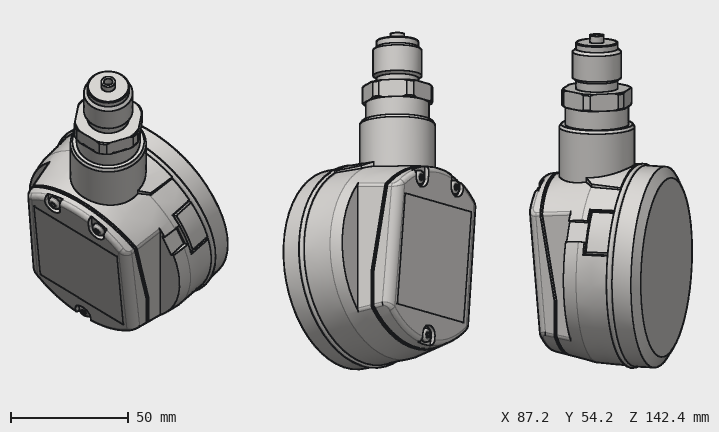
import cadquery as cq
import math


front_y = 30.9
bezel_radius = 42.9
bezel_back_y = 19.5
bezel_chamfer_y = 3.0
bezel_chamfer_radial = 4.7
gasket_radius = 43.6
gasket_seat_radius = 40.6

rim_y = 17.0
rim_radius = 42.6
shoulder_y = 3.3
shoulder_radius = 42.1
cone_slope = 0.195
rear_limit_y = -31.3
big = 128.2

face_y = -20.2
face_tilt = 5.1
face_wall_fillet = 4.3
face_arc_fillet = 2.3

shelf_y = -2.5
wall_x = 30.5
wall_draft = 9.0

joint_flat_y = -10.1
joint_kink_z = -11.4
joint_slope = 0.18
joint_groove_width = 1.0
joint_groove_depth = 0.35

label_width = 45.3
label_top = 22.2
label_bottom = -25.6
label_thickness = 0.7

upper_screw_x = 12.0
upper_screw_z = 31.0
lower_screw_z = -35.0
notch_radius = 4.1
notch_depth = 2.3
screw_head_radius = 3.0
screw_head_height = 1.9
screw_dome_height = 1.1
screw_socket_size = 2.5
screw_socket_depth = 1.0

neck_radius = 16.1
neck_foot_z = 31.3
neck_top_z = 60.4
neck_chamfer_radial = 0.9
neck_chamfer_height = 1.3
pad_radius = 43.3
pad_half_width_rim = 21.4
pad_half_width_shoulder = 20.2
pad_shoulder_y = 3.7

collar_radius = 13.5
hex_bottom_z = 68.5
hex_top_z = 75.9
hex_flats = 27.3
hex_corner_radius = 15.0
hex_chamfer = 0.5
relief_radius = 9.0
thread_bottom_z = 79.5
thread_radius = 10.4
thread_lower_chamfer = 1.1
thread_upper_chamfer = 1.3
thread_top_z = 93.0
tip_top_z = 95.8
tip_chamfer = 0.4
pin_radius = 3.0
pin_top_z = 98.8
pin_bore_radius = 1.9
pin_bore_depth = 3.5

flap_angle = 30.0
flap_pocket_width = 20.5
flap_pocket_floor = 39.2
flap_back_y = 6.0
flap_gap = 0.5
flap_chamfer = 0.7
finger_width = 9.7
finger_floor = 39.3

face_plane = cq.Plane(
    origin=(0, face_y, 0),
    xDir=(1, 0, 0),
    normal=(0, -1, -math.tan(math.radians(face_tilt))),
)


def revolve_about_y(points):
    return cq.Workplane("XY").polyline(points).close().revolve(360, (0, 0, 0), (0, 1, 0))


def block(x_range, y_range, z_range):
    size = [high - low for low, high in (x_range, y_range, z_range)]
    corner = (x_range[0], y_range[0], z_range[0])
    return cq.Workplane("XY").box(*size, centered=False).translate(corner)


def make_bezel():
    return revolve_about_y([
        (0, bezel_back_y),
        (bezel_radius, bezel_back_y),
        (bezel_radius, front_y - bezel_chamfer_y),
        (bezel_radius - bezel_chamfer_radial, front_y),
        (0, front_y),
    ])


def make_gasket():
    bead_radius = (bezel_back_y - rim_y) / 2
    bead_x = gasket_radius - bead_radius
    return (
        cq.Workplane("XY")
        .moveTo(gasket_seat_radius, rim_y)
        .lineTo(bead_x, rim_y)
        .threePointArc((gasket_radius, rim_y + bead_radius), (bead_x, bezel_back_y))
        .lineTo(gasket_seat_radius, bezel_back_y)
        .close()
        .revolve(360, (0, 0, 0), (0, 1, 0))
    )


def case_body(inset):
    """Tapered case cut by the rear face and the side shelves, shrunk sideways by the inset."""
    rear_radius = shoulder_radius - cone_slope * (shoulder_y - rear_limit_y)
    body = revolve_about_y([
        (0, rim_y),
        (rim_radius - inset, rim_y),
        (shoulder_radius - inset, shoulder_y),
        (rear_radius - inset, rear_limit_y),
        (0, rear_limit_y),
    ])
    behind_face = cq.Workplane(face_plane).rect(big, big).extrude(big / 2)
    body = body.cut(behind_face)
    run = shelf_y - rear_limit_y
    top_x = wall_x - inset
    foot_x = top_x - run * math.tan(math.radians(wall_draft))
    for side in (1, -1):
        step = (
            cq.Workplane("XY")
            .polyline([
                (side * top_x, shelf_y),
                (side * big, shelf_y),
                (side * big, rear_limit_y),
                (side * foot_x, rear_limit_y),
            ])
            .close()
            .extrude(big / 2, both=True)
        )
        body = body.cut(step)
    return body


def fillet_face_edges(solid, radius, straight):
    """Round either the straight or the curved edges of the sloping rear face."""
    rear_face = max(solid.Faces(), key=lambda face: face.Center().dot(face_plane.zDir))
    edges = [edge for edge in rear_face.Edges() if (edge.geomType() == "LINE") == straight]
    return solid.fillet(radius, edges)


def round_case(body):
    solid = body.val().Solids()[0]
    solid = fillet_face_edges(solid, face_wall_fillet, straight=True)
    solid = fillet_face_edges(solid, face_arc_fillet, straight=False)
    return cq.Workplane("XY").newObject([solid])


def make_neck():
    neck = (
        cq.Workplane("XY", origin=(0, 0, neck_foot_z))
        .circle(neck_radius)
        .extrude(neck_top_z - neck_foot_z)
    )
    return neck.faces(">Z").chamfer(neck_chamfer_height, neck_chamfer_radial)


def make_pad():
    """Slightly raised pad on the case top, running from the rim to the foot of the neck."""
    outline = [
        (-pad_half_width_rim, rim_y),
        (-pad_half_width_shoulder, pad_shoulder_y),
        (-neck_radius, 0),
        (neck_radius, 0),
        (pad_half_width_shoulder, pad_shoulder_y),
        (pad_half_width_rim, rim_y),
    ]
    prism = cq.Workplane("XY").workplane(offset=neck_foot_z).polyline(outline).close().extrude(big)
    cylinder = revolve_about_y([(0, 0), (pad_radius, 0), (pad_radius, rim_y), (0, rim_y)])
    return prism.intersect(cylinder)


def joint_prism(shift):
    """Everything behind the kinked joint surface, moved towards the front by the shift."""
    kink_y = joint_flat_y + shift
    top_y = kink_y - joint_slope * (big - joint_kink_z)
    outline = [
        (kink_y, -big),
        (kink_y, joint_kink_z),
        (top_y, big),
        (-big, big),
        (-big, -big),
    ]
    return cq.Workplane("YZ").polyline(outline).close().extrude(big, both=True)


def make_joint_groove():
    """Shallow band around the case, just in front of the joint."""
    band = joint_prism(joint_groove_width).cut(joint_prism(0))
    return band.cut(case_body(joint_groove_depth))


def flap_sector(width, floor, back_y):
    """Block across the flap position, from the floor outwards and from back_y to the rim."""
    sector = block((floor, big), (back_y, rim_y), (-width / 2, width / 2))
    return sector.rotate((0, 0, 0), (0, 1, 0), -flap_angle)


def make_flap(outer_body):
    flap = flap_sector(flap_pocket_width - 2 * flap_gap, flap_pocket_floor, flap_back_y + flap_gap)
    flap = flap.intersect(outer_body)
    outer_faces = [face for face in flap.faces().vals() if face.geomType() == "CONE"]
    border = [
        edge for edge in flap.newObject(outer_faces).edges().vals()
        if edge.Center().y < rim_y - flap_chamfer
    ]
    return flap.newObject(border).chamfer(flap_chamfer)


def make_finger_groove():
    """Groove from the back of the flap pocket through the shelf."""
    groove = flap_sector(finger_width, finger_floor, rear_limit_y)
    return groove.cut(flap_sector(big, 0, flap_back_y))


def screw_seats():
    """Position of each screw on the rear face, and the direction in which its notch opens."""
    return [
        (-upper_screw_x, upper_screw_z, 1),
        (upper_screw_x, upper_screw_z, 1),
        (0, lower_screw_z, -1),
    ]


def make_notch(x, z, opening):
    floor = cq.Workplane(face_plane).workplane(offset=-notch_depth).center(x, z)
    length = big / 2
    round_end = floor.circle(notch_radius).extrude(big / 2)
    channel = floor.center(0, opening * length / 2).rect(2 * notch_radius, length).extrude(big / 2)
    return round_end.union(channel)


def make_screw(x, z):
    floor = cq.Workplane(face_plane).workplane(offset=-notch_depth).center(x, z)
    head = floor.circle(screw_head_radius).extrude(screw_head_height)
    rim = head.faces(cq.selectors.DirectionMinMaxSelector(face_plane.zDir, True)).edges()
    head = rim.fillet(screw_dome_height)
    socket = (
        floor.workplane(offset=screw_head_height - screw_socket_depth)
        .polygon(6, screw_socket_size)
        .extrude(screw_socket_depth)
    )
    return head.cut(socket)


def make_label():
    return (
        cq.Workplane(face_plane)
        .center(0, (label_top + label_bottom) / 2)
        .rect(label_width, label_top - label_bottom)
        .extrude(-label_thickness)
    )


def make_connector():
    turned = (
        cq.Workplane("XZ")
        .polyline([
            (0, neck_top_z),
            (collar_radius, neck_top_z),
            (collar_radius, hex_bottom_z),
            (relief_radius, hex_bottom_z),
            (relief_radius, thread_bottom_z),
            (thread_radius, thread_bottom_z + thread_lower_chamfer),
            (thread_radius, thread_top_z - thread_upper_chamfer),
            (relief_radius, thread_top_z),
            (relief_radius, tip_top_z - tip_chamfer),
            (relief_radius - tip_chamfer, tip_top_z),
            (pin_radius, tip_top_z),
            (pin_radius, pin_top_z),
            (0, pin_top_z),
        ])
        .close()
        .revolve(360, (0, 0, 0), (0, 1, 0))
    )
    hex_base = cq.Workplane("XY", origin=(0, 0, hex_bottom_z))
    hex_height = hex_top_z - hex_bottom_z
    hexagon = hex_base.polygon(6, hex_flats / math.cos(math.radians(30))).extrude(hex_height)
    corner_limit = hex_base.circle(hex_corner_radius).extrude(hex_height).edges().chamfer(hex_chamfer)
    bore = (
        cq.Workplane("XY", origin=(0, 0, pin_top_z - pin_bore_depth))
        .circle(pin_bore_radius)
        .extrude(pin_bore_depth)
    )
    return turned.union(hexagon.intersect(corner_limit)).cut(bore)


def make_gasket_seat():
    return revolve_about_y([
        (0, rim_y),
        (gasket_seat_radius, rim_y),
        (gasket_seat_radius, bezel_back_y),
        (0, bezel_back_y),
    ])


def make_housing(case):
    housing = case.cut(joint_prism(0)).cut(make_joint_groove())
    housing = housing.union(make_pad()).union(make_neck()).union(make_gasket_seat())
    housing = housing.cut(flap_sector(flap_pocket_width, flap_pocket_floor, flap_back_y))
    return housing.cut(make_finger_groove())


def make_cover(case, label):
    cover = case.intersect(joint_prism(0)).cut(label)
    for x, z, opening in screw_seats():
        cover = cover.cut(make_notch(x, z, opening))
    return cover


rounded_case = round_case(case_body(0))

bezel = make_bezel()
gasket = make_gasket()
label = make_label()
connector = make_connector()
flap = make_flap(case_body(0))
housing = make_housing(rounded_case)
cover = make_cover(rounded_case, label)
screws = [make_screw(x, z) for x, z, opening in screw_seats()]

result = cq.Compound.makeCompound([
    bezel.val(),
    gasket.val(),
    housing.val(),
    cover.val(),
    label.val(),
    connector.val(),
    flap.val(),
    *[screw.val() for screw in screws],
])